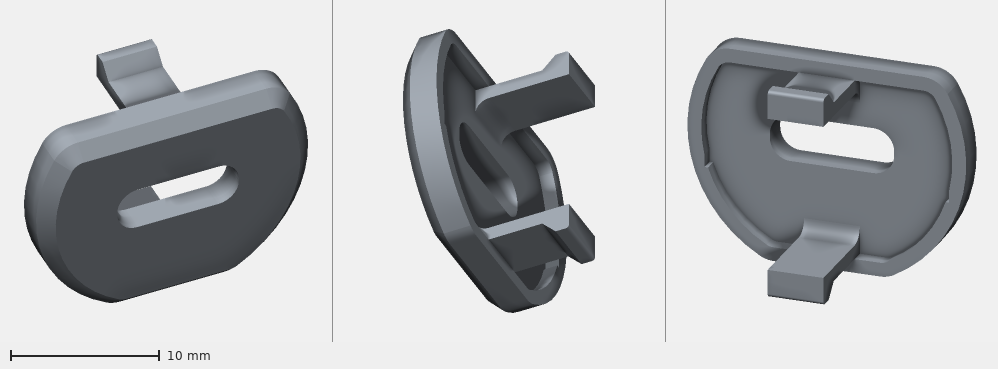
import cadquery as cq
import math

disc_radius = 9.99
plate_top = 6.0
plate_bottom = -9.01
plate_thickness = 3.0
front_chamfer = 1.0
corner_radius = 2.0

rim_width = 1.0
pocket_depth = 1.0
notch_half_width = 8.77
notch_bottom = -2.9
notch_top = -1.8

slot_length = 8.91
slot_height = 3.28
slot_center_z = -0.35
slot_corner_radius = 1.5

arm_width = 4.0
arm_length = 6.0
arm_thickness = 1.0
hook_height = 1.0
hook_flat = 1.0
hook_ramp = 1.0
hook_tip_radius = 0.24
root_radius = 1.0


def corner_tangents(radius, flat_z, corner_radius):
    """Half width of the flat, then the (y, z) middle and end of the arc joining it to the disc."""
    side = math.copysign(1, flat_z)
    center_z = flat_z - side * corner_radius
    center_distance = radius - corner_radius
    center_y = math.sqrt(center_distance**2 - center_z**2)
    end_angle = math.atan2(center_z, center_y)
    middle_angle = (end_angle + side * math.pi / 2) / 2
    middle = (
        center_y + corner_radius * math.cos(middle_angle),
        center_z + corner_radius * math.sin(middle_angle),
    )
    end = (radius * math.cos(end_angle), radius * math.sin(end_angle))
    return center_y, middle, end


def flattened_disc(inset, start_x, depth):
    """Disc with flat top and bottom, inset evenly from the plate outline."""
    radius = disc_radius - inset
    top = plate_top - inset
    bottom = plate_bottom + inset
    top_half, top_middle, top_end = corner_tangents(radius, top, corner_radius - inset)
    low_half, low_middle, low_end = corner_tangents(radius, bottom, corner_radius - inset)

    def mirrored(point):
        return (-point[0], point[1])

    return (
        cq.Workplane("YZ", origin=(start_x, 0, 0))
        .moveTo(-top_half, top)
        .lineTo(top_half, top)
        .threePointArc(top_middle, top_end)
        .threePointArc((radius, 0), low_end)
        .threePointArc(low_middle, (low_half, bottom))
        .lineTo(-low_half, bottom)
        .threePointArc(mirrored(low_middle), mirrored(low_end))
        .threePointArc((-radius, 0), mirrored(top_end))
        .threePointArc(mirrored(top_middle), (-top_half, top))
        .close()
        .extrude(depth)
    )


def make_plate():
    plate = flattened_disc(0, 0, plate_thickness).faces(">X").chamfer(front_chamfer)
    pocket = flattened_disc(rim_width, 0, pocket_depth)
    notches = (
        cq.Workplane("XY", origin=(0, 0, (notch_bottom + notch_top) / 2))
        .box(pocket_depth, 2 * notch_half_width, notch_top - notch_bottom, centered=(False, True, True))
    )
    slot = (
        cq.Workplane("XY", origin=(0, 0, slot_center_z))
        .box(plate_thickness, slot_length, slot_height, centered=(False, True, True))
        .edges("|X")
        .fillet(slot_corner_radius)
    )
    return plate.cut(pocket).cut(notches).cut(slot)


def make_arm(outer_z, outward):
    """Arm from the pocket floor; outward is +1 for a hook facing up, -1 for one facing down."""

    def at(x, height):
        return (x, outer_z + outward * height)

    tip_x = -arm_length
    ramp_start = tip_x + hook_flat
    root_offset = root_radius * (1 - math.sqrt(0.5))
    return (
        cq.Workplane("XZ")
        .moveTo(*at(pocket_depth, 0))
        .lineTo(*at(ramp_start + hook_ramp, 0))
        .lineTo(*at(ramp_start, hook_height))
        .lineTo(*at(tip_x + hook_tip_radius, hook_height))
        .radiusArc(at(tip_x, hook_height - hook_tip_radius), -outward * hook_tip_radius)
        .lineTo(*at(tip_x, -arm_thickness))
        .lineTo(*at(pocket_depth - root_radius, -arm_thickness))
        .threePointArc(
            at(pocket_depth - root_offset, -arm_thickness - root_offset),
            at(pocket_depth, -arm_thickness - root_radius),
        )
        .close()
        .extrude(arm_width / 2, both=True)
    )


upper_arm = make_arm(plate_top - rim_width, 1)
lower_arm = make_arm(plate_bottom + rim_width, -1)
result = make_plate().union(upper_arm).union(lower_arm)